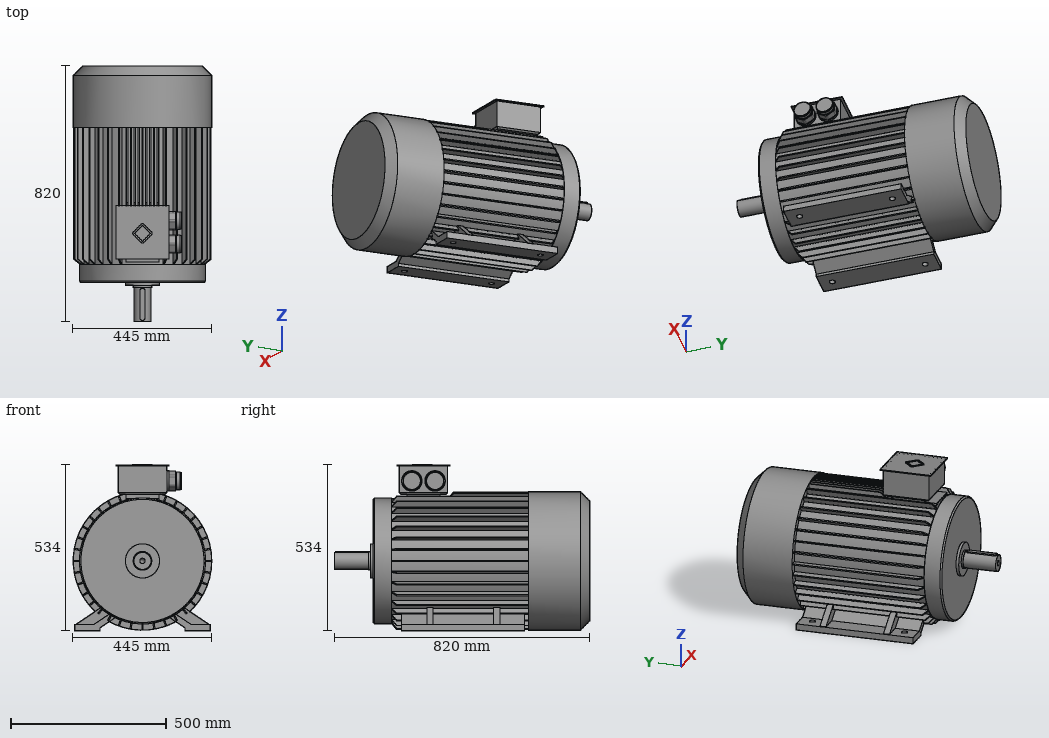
import cadquery as cq
import math

LENGTH = 820.0
SHAFT_END = 110.0
BOSS_FRONT = 116.0
BELL_FRONT = 125.0
BELL_REAR = 184.0
COWL_FRONT = 623.0

SHAFT_DIA = 55.0
COLLAR_DIA = 60.0
KEY_WIDTH = 16.0
KEY_LENGTH = 103.0
KEY_GAP = 3.0
KEY_TOP = 30.0
CENTRE_HOLE_DIA = 17.0
CENTRE_HOLE_DEPTH = 15.0

BOSS_DIA = 110.0
BELL_DIA = 405.0
BELL_CHAMFER = 5.0
BARREL_DIA = 400.0
COWL_DIA = 445.0
COWL_CHAMFER = 30.0

FIN_STEP = 10
FIN_TIP_RADIUS = 220.5
FIN_ROOT_RADIUS = 189.0
FIN_THICKNESS = 4.0
FIN_SLOPE = 16.0
TOP_ANGLE = 90
TOP_FIN_COUNT = 9
TOP_FIN_PITCH = 12.0
TOP_FIN_FRONT = 366.0

BOX_Y = 286.0
BOX_SIDE = 156.0
BOX_BOTTOM = 213.0
BOX_CHAMFER = 6.0
LID_SIDE = 171.0
LID_BOTTOM = 304.0
LID_TOP = 307.5
NECK_SIDE = 107.0
PAD_FRONT = 191.0
PAD_TOP = 201.0
BADGE_Y = 283.0
BADGE_SIDE = 47.5
BADGE_RIM = 6.0
BADGE_CORNER = 6.0
BADGE_TOP = 309.0

GLAND_SPACING = 75.0
GLAND_Z = 257.0
GLAND_NECK_DIA = 66.0
GLAND_NUT_CORNERS = 67.0
GLAND_NUT_FILLET = 7.0
GLAND_GROOVE_DIA = 55.0
GLAND_CAP_DIA = 57.0
GLAND_TIP_DIA = 55.0
GLAND_NUT_START = 84.5
GLAND_NUT_END = 107.0
GLAND_CAP_START = 109.0
GLAND_TIP_START = 120.0
GLAND_END = 125.0

SHAFT_HEIGHT = 225.0
FOOT_OUTER_X = 218.0
FOOT_INNER_X = 136.0
FOOT_BEND_X = 155.0
FOOT_THICKNESS = 21.0
FOOT_EDGE = 10.0
FOOT_SLOPE = math.radians(34)
FOOT_FRONT = 216.0
FOOT_LENGTH = 395.0
WEB_RUN = 57.0
RIB_OUTER_X = 213.0
RIB_RUN = 90.0
RIB_WIDTH = 20.5
RIB_STARTS = (297.0, 512.0)
BOLT_DIA = 19.0
BOLT_X = 178.0
BOLT_STATIONS = (257.5, 569.0)


def square_block(side, bottom, top):
    """Square block centred on the terminal box."""
    return cq.Workplane("XY", origin=(0, BOX_Y, bottom)).rect(side, side).extrude(top - bottom)


def turned_body():
    """Shaft, bell, barrel and cowl as one turned profile."""
    cowl_r = COWL_DIA / 2
    bell_r = BELL_DIA / 2
    profile = [
        (0, 0),
        (SHAFT_DIA / 2, 0),
        (SHAFT_DIA / 2, SHAFT_END),
        (COLLAR_DIA / 2, SHAFT_END),
        (COLLAR_DIA / 2, BOSS_FRONT),
        (BOSS_DIA / 2, BOSS_FRONT),
        (BOSS_DIA / 2, BELL_FRONT),
        (bell_r - BELL_CHAMFER, BELL_FRONT),
        (bell_r, BELL_FRONT + BELL_CHAMFER),
        (bell_r, BELL_REAR),
        (BARREL_DIA / 2, BELL_REAR),
        (BARREL_DIA / 2, COWL_FRONT),
        (cowl_r, COWL_FRONT),
        (cowl_r, LENGTH - COWL_CHAMFER),
        (cowl_r - COWL_CHAMFER, LENGTH),
        (0, LENGTH),
    ]
    return cq.Workplane("XY").polyline(profile).close().revolve(360, (0, 0, 0), (0, 1, 0))


def upright_fin(front, tip):
    """Fin standing on the YZ plane; its front end slopes down to the barrel."""
    outline = [
        (front, FIN_ROOT_RADIUS),
        (front, BARREL_DIA / 2),
        (front + FIN_SLOPE, tip),
        (COWL_FRONT, tip),
        (COWL_FRONT, FIN_ROOT_RADIUS),
    ]
    return cq.Workplane("YZ").polyline(outline).close().extrude(FIN_THICKNESS / 2, both=True)


def foot():
    """Foot on the +X side, with its sloping web and two ribs."""
    floor = -SHAFT_HEIGHT
    top = floor + FOOT_THICKNESS
    edge = floor + FOOT_EDGE
    rise = math.tan(FOOT_SLOPE)
    plate = [
        (FOOT_OUTER_X, floor),
        (FOOT_OUTER_X, top),
        (FOOT_BEND_X, top),
        (FOOT_BEND_X - WEB_RUN, top + WEB_RUN * rise),
        (FOOT_INNER_X - WEB_RUN, edge + WEB_RUN * rise),
        (FOOT_INNER_X, edge),
        (FOOT_INNER_X, floor),
    ]
    rib = [
        (RIB_OUTER_X, top),
        (RIB_OUTER_X - RIB_RUN, top + RIB_RUN * rise),
        (FOOT_BEND_X - WEB_RUN, top + WEB_RUN * rise),
        (FOOT_BEND_X, top),
    ]
    body = cq.Workplane("XZ", origin=(0, FOOT_FRONT, 0)).polyline(plate).close().extrude(-FOOT_LENGTH)
    for start in RIB_STARTS:
        rib_plane = cq.Workplane("XZ", origin=(0, start, 0))
        body = body.union(rib_plane.polyline(rib).close().extrude(-RIB_WIDTH))
    bolts = [(BOLT_X, y) for y in BOLT_STATIONS]
    holes = (
        cq.Workplane("XY", origin=(0, 0, floor))
        .pushPoints(bolts)
        .circle(BOLT_DIA / 2)
        .extrude(FOOT_THICKNESS)
    )
    return body.cut(holes)


def terminal_box():
    """Flat pad, neck, box and lid, with a raised diamond frame on the lid."""
    pad = (
        cq.Workplane("XY", origin=(0, (PAD_FRONT + COWL_FRONT) / 2, FIN_ROOT_RADIUS))
        .rect(NECK_SIDE, COWL_FRONT - PAD_FRONT)
        .extrude(PAD_TOP - FIN_ROOT_RADIUS)
    )
    neck = square_block(NECK_SIDE, FIN_ROOT_RADIUS, BOX_BOTTOM)
    case = square_block(BOX_SIDE, BOX_BOTTOM, LID_BOTTOM).faces("<Z").chamfer(BOX_CHAMFER)
    lid = square_block(LID_SIDE, LID_BOTTOM, LID_TOP)
    recess_side = BADGE_SIDE - 2 * BADGE_RIM
    recess = cq.Workplane("XY").rect(recess_side, recess_side).extrude(BADGE_TOP - LID_TOP)
    badge = (
        cq.Workplane("XY")
        .rect(BADGE_SIDE, BADGE_SIDE)
        .extrude(BADGE_TOP - LID_TOP)
        .edges("|Z")
        .fillet(BADGE_CORNER)
        .cut(recess)
        .rotate((0, 0, 0), (0, 0, 1), 45)
        .translate((0, BADGE_Y, LID_TOP))
    )
    return pad.union(neck).union(case).union(lid).union(badge)


def gland(y):
    """Cable gland along X: neck, hexagon nut, groove, cap and tip."""

    def disc(start, end, dia):
        return cq.Workplane("YZ", origin=(start, y, GLAND_Z)).circle(dia / 2).extrude(end - start)

    nut = (
        cq.Workplane("YZ", origin=(GLAND_NUT_START, y, GLAND_Z))
        .transformed(rotate=(0, 0, 90))
        .polygon(6, GLAND_NUT_CORNERS)
        .extrude(GLAND_NUT_END - GLAND_NUT_START)
        .edges("|X")
        .fillet(GLAND_NUT_FILLET)
    )
    return (
        disc(BOX_SIDE / 2, GLAND_NUT_START, GLAND_NECK_DIA)
        .union(nut)
        .union(disc(GLAND_NUT_END, GLAND_CAP_START, GLAND_GROOVE_DIA))
        .union(disc(GLAND_CAP_START, GLAND_TIP_START, GLAND_CAP_DIA))
        .union(disc(GLAND_TIP_START, GLAND_END, GLAND_TIP_DIA))
    )


result = turned_body()

for angle in range(0, 360, FIN_STEP):
    if abs(angle - TOP_ANGLE) > FIN_STEP:
        fin = upright_fin(BELL_REAR, FIN_TIP_RADIUS)
        result = result.union(fin.rotate((0, 0, 0), (0, 1, 0), TOP_ANGLE - angle))

for index in range(TOP_FIN_COUNT):
    x = (index - (TOP_FIN_COUNT - 1) / 2) * TOP_FIN_PITCH
    tip = math.sqrt(FIN_TIP_RADIUS**2 - x**2)
    fin = upright_fin(TOP_FIN_FRONT, tip)
    result = result.union(fin.translate((x, 0, 0)))

right_foot = foot()
result = result.union(right_foot).union(right_foot.mirror("YZ"))

result = result.union(terminal_box())
for side in (-1, 1):
    result = result.union(gland(BOX_Y + side * GLAND_SPACING / 2))

key = (
    cq.Workplane("XY", origin=(0, KEY_GAP + KEY_LENGTH / 2, 0))
    .slot2D(KEY_LENGTH, KEY_WIDTH, 90)
    .extrude(KEY_TOP)
)
result = result.union(key)
centre_hole = (
    cq.Workplane("XY")
    .polyline([(0, 0), (CENTRE_HOLE_DIA / 2, 0), (0, CENTRE_HOLE_DEPTH)])
    .close()
    .revolve(360, (0, 0, 0), (0, 1, 0))
)
result = result.cut(centre_hole)